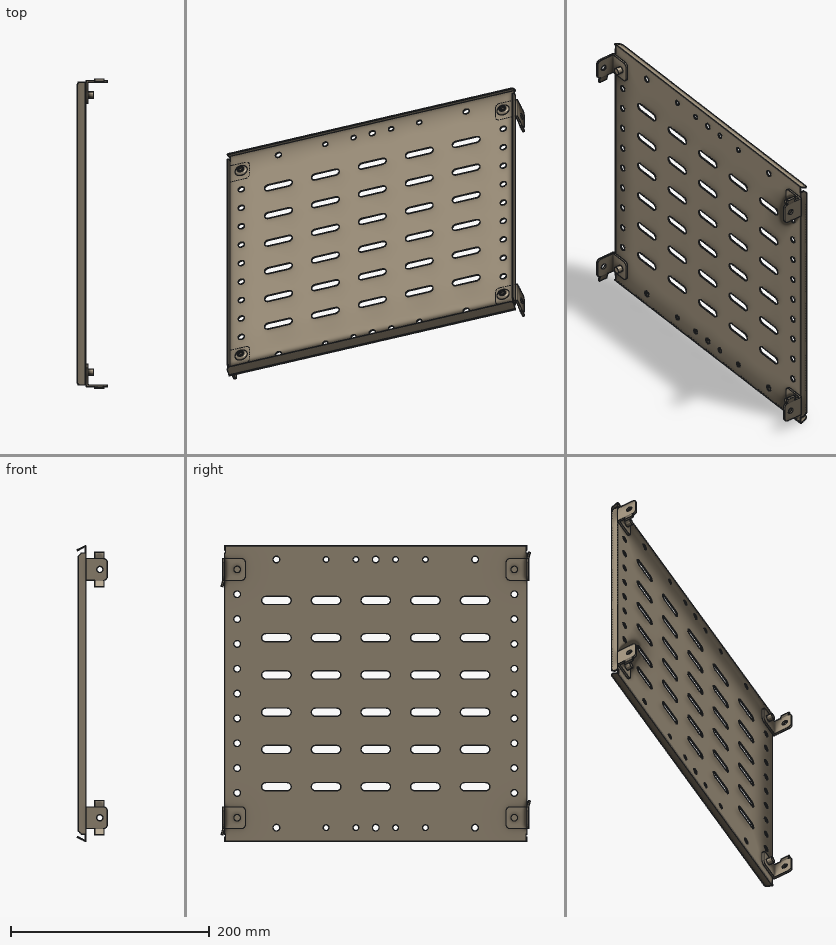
import cadquery as cq
import math

plate_width = 305.0
plate_height = 297.66
sheet = 1.2
bend_radius = 0.6
half_width = plate_width / 2
half_height = plate_height / 2

lip_reach = 9.02
lip_angle = 26.0
lip_corner_radius = 3.0
flange_depth = 8.0
flange_length = 283.4
flange_chamfer = 3.5

slot_length = 29.5
slot_height = 8.0
slot_columns, slot_pitch_y = 5, 50.0
slot_rows, slot_pitch_z = 6, 37.5

hole_diameter = 6.5
small_hole_diameter = 5.5
side_hole_y = 139.5
side_hole_pitch = 25.0
side_hole_count = 9
edge_hole_z = 135.0
edge_hole_ys = [-100.0, 0.0, 100.0]
edge_small_hole_ys = [-50.0, -20.0, 20.0, 50.0]

bracket_thickness = 2.0
bracket_width = 22.0
bracket_reach = 21.5
bracket_outer_y = 154.2
bracket_foot_length = 23.0
bracket_bend_radius = 0.5
bracket_corner_radius = 4.0
bracket_hole_diameter = 6.0
bracket_hole_x = 13.9
tab_x = 13.5
tab_width = 9.5
tab_length = 6.2
tab_reach = 155.75
bracket_z = 125.0

rivet_y = side_hole_y
shank_diameter = 6.6
shank_tail = 5.7
head_diameter = 13.0
dome_height = 2.0
dome_top_diameter = 8.4
dome_bulge = 0.5
collar_diameter = 6.6
collar_height = 1.2
socket_diameter = 4.6
socket_depth = 2.0

SIDES = (-1, 1)

slope = math.radians(lip_angle)
bend_center_z = half_height - bend_radius
lip_inner_corner_z = bend_center_z - (sheet - bend_radius) * (1 - math.sin(slope)) / math.cos(slope)


def lip(side):
    """Top (+1) or bottom (-1) lip with its bend, over the full plate width."""
    bend_x = -bend_radius
    turn = math.pi / 2 + slope
    length = (lip_reach - bend_radius * (1 + math.sin(slope))) / math.cos(slope)

    def on_bend(angle):
        return (bend_x + bend_radius * math.cos(angle), bend_center_z + bend_radius * math.sin(angle))

    def at_tip(depth):
        """Point on the lip's end edge, the given depth below its outer face."""
        x, z = on_bend(turn)
        return (
            x - length * math.cos(slope) + depth * math.sin(slope),
            z - length * math.sin(slope) - depth * math.cos(slope),
        )

    body = (
        cq.Workplane("XZ", origin=(0, half_width, 0))
        .moveTo(0, lip_inner_corner_z)
        .lineTo(0, bend_center_z)
        .threePointArc(on_bend(turn / 2), on_bend(turn))
        .lineTo(*at_tip(0))
        .lineTo(*at_tip(sheet))
        .lineTo(-sheet, lip_inner_corner_z)
        .close()
        .extrude(plate_width)
    )
    tip_x, tip_z = at_tip(sheet / 2)
    for y in SIDES:
        corner = cq.selectors.NearestToPointSelector((tip_x, y * half_width, tip_z))
        body = body.edges(corner).fillet(lip_corner_radius)
    return body if side > 0 else body.mirror("XY")


def side_flange(side):
    """Folded flange with its bend on the +Y (+1) or -Y (-1) side."""
    root_y = half_width - sheet
    body = (
        cq.Workplane("XY", origin=(0, 0, -flange_length / 2))
        .polyline(
            [(0, root_y), (0, half_width), (-flange_depth, half_width), (-flange_depth, root_y)]
        )
        .close()
        .extrude(flange_length)
    )
    outer_bend = cq.selectors.NearestToPointSelector((0, half_width, 0))
    body = body.edges(outer_bend).fillet(bend_radius)
    body = body.faces("<X").edges("|Y").chamfer(flange_chamfer)
    return body if side > 0 else body.mirror("XZ")


def round_holes(points, diameter):
    """Cylinders through the web at the given (y, z) points."""
    web_front = cq.Workplane("YZ", origin=(-sheet, 0, 0))
    return web_front.pushPoints(points).circle(diameter / 2).extrude(sheet)


def make_plate():
    web_width = plate_width - 2 * sheet
    web_height = 2 * lip_inner_corner_z
    plate = cq.Workplane("XY").box(sheet, web_width, web_height).translate((-sheet / 2, 0, 0))
    for side in SIDES:
        plate = plate.union(lip(side)).union(side_flange(side))

    slots = (
        cq.Workplane("YZ", origin=(-sheet, 0, 0))
        .rarray(slot_pitch_y, slot_pitch_z, slot_columns, slot_rows)
        .slot2D(slot_length, slot_height)
        .extrude(sheet)
    )
    first_side_hole_z = -side_hole_pitch * (side_hole_count - 1) / 2
    holes = [
        (side * side_hole_y, first_side_hole_z + row * side_hole_pitch)
        for side in SIDES
        for row in range(side_hole_count)
    ]
    holes += [(y, side * edge_hole_z) for side in SIDES for y in edge_hole_ys]
    small_holes = [(y, side * edge_hole_z) for side in SIDES for y in edge_small_hole_ys]
    rivet_holes = [(y * rivet_y, z * bracket_z) for y in SIDES for z in SIDES]

    plate = plate.cut(slots)
    plate = plate.cut(round_holes(holes, hole_diameter))
    plate = plate.cut(round_holes(small_holes, small_hole_diameter))
    return plate.cut(round_holes(rivet_holes, shank_diameter))


def make_tab():
    """Tab on the upper edge of the +Y bracket leg, leaning outward."""
    rise = math.sqrt(tab_length**2 - (tab_reach - bracket_outer_y) ** 2)
    lean = tab_reach - bracket_outer_y
    end_step_y = bracket_thickness * rise / tab_length
    end_step_z = bracket_thickness * lean / tab_length
    root_z = bracket_width / 2
    tip_z = root_z + rise
    return (
        cq.Workplane("YZ", origin=(tab_x - tab_width / 2, 0, 0))
        .polyline(
            [
                (bracket_outer_y - bracket_thickness, root_z),
                (bracket_outer_y, root_z),
                (tab_reach, tip_z),
                (tab_reach - end_step_y, tip_z + end_step_z),
            ]
        )
        .close()
        .extrude(tab_width)
    )


def make_bracket():
    """Right-angle bracket for the +Y side, centred on Z = 0."""
    foot_end_y = bracket_outer_y - bracket_foot_length
    inner_y = bracket_outer_y - bracket_thickness
    bracket = (
        cq.Workplane("XY", origin=(0, 0, -bracket_width / 2))
        .polyline(
            [
                (0, foot_end_y),
                (0, bracket_outer_y),
                (bracket_reach, bracket_outer_y),
                (bracket_reach, inner_y),
                (bracket_thickness, inner_y),
                (bracket_thickness, foot_end_y),
            ]
        )
        .close()
        .extrude(bracket_width)
    )
    outer_bend = cq.selectors.NearestToPointSelector((0, bracket_outer_y, 0))
    inner_bend = cq.selectors.NearestToPointSelector((bracket_thickness, inner_y, 0))
    bracket = bracket.edges(outer_bend).fillet(bracket_bend_radius)
    bracket = bracket.edges(inner_bend).fillet(bracket_bend_radius)
    bracket = bracket.faces(">X").edges("|Y").fillet(bracket_corner_radius)
    bracket = bracket.faces("<Y").edges("|X").fillet(bracket_corner_radius)
    bracket = bracket.union(make_tab())

    leg_hole = (
        cq.Workplane("XZ", origin=(bracket_hole_x, bracket_outer_y, 0))
        .circle(bracket_hole_diameter / 2)
        .extrude(bracket_thickness)
    )
    rivet_hole = (
        cq.Workplane("YZ", origin=(0, rivet_y, 0))
        .circle(shank_diameter / 2)
        .extrude(bracket_thickness)
    )
    return bracket.cut(leg_hole).cut(rivet_hole)


def make_rivet():
    """Rivet along X through plate and bracket foot, with its domed head on the -X side."""
    seat_x = -sheet
    dome_top_x = seat_x - dome_height
    face_x = dome_top_x - collar_height
    socket_floor_x = face_x + socket_depth
    tail_x = bracket_thickness + shank_tail
    head_r = head_diameter / 2
    dome_top_r = dome_top_diameter / 2
    return (
        cq.Workplane("XY")
        .moveTo(socket_floor_x, 0)
        .lineTo(socket_floor_x, socket_diameter / 2)
        .lineTo(face_x, socket_diameter / 2)
        .lineTo(face_x, collar_diameter / 2)
        .lineTo(dome_top_x, collar_diameter / 2)
        .lineTo(dome_top_x, dome_top_r)
        .sagittaArc((seat_x, head_r), dome_bulge)
        .lineTo(seat_x, shank_diameter / 2)
        .lineTo(tail_x, shank_diameter / 2)
        .lineTo(tail_x, 0)
        .close()
        .revolve(360, (0, 0, 0), (1, 0, 0))
    )


plate = make_plate()
bodies = [plate.solids().val()]

for side, turn in ((1, 0), (-1, 180)):
    for level in SIDES:
        bracket = make_bracket().rotate((0, 0, 0), (1, 0, 0), turn)
        bracket = bracket.translate((0, 0, level * bracket_z))
        rivet = make_rivet().translate((0, side * rivet_y, level * bracket_z))
        bodies += [bracket.solids().val(), rivet.solids().val()]

result = cq.Compound.makeCompound(bodies)